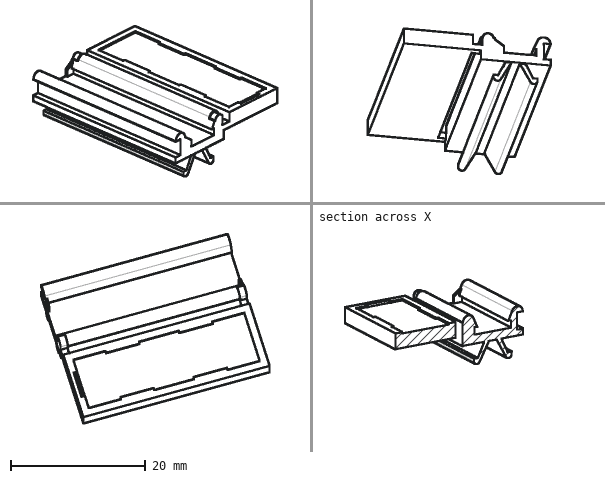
import math

import cadquery as cq

LENGTH = 29.0
TOTAL_DEPTH = 22.3
TOTAL_HEIGHT = 7.97

BASE_DEPTH = 10.6
BASE_MID = BASE_DEPTH / 2
FLOOR_TOP = 1.5
HOOK_TOP = 4.7
HOOK_RADIUS = 1.0
HOOK_LEDGE = 0.05
HOOK_CENTRE_Y = HOOK_LEDGE + HOOK_RADIUS
HOOK_CENTRE_Z = HOOK_TOP - HOOK_RADIUS
BARB_REACH = 2.62
BARB_BOTTOM = 2.6
RAIL_DEPTH = 2.15
GROOVE_DEPTH = 1.05
GROOVE_BOTTOM = 1.0
GROOVE_TOP = 3.65

STOP_LENGTH = 0.35
STOP_REACH = 3.5
STOP_SLOPE_DEPTH = 2.2
STOP_SLOPE_TOP = 3.55

PLATE_FRONT = 11.8
PLATE_BOTTOM = FLOOR_TOP
PLATE_TOP = 4.05
FRAME_WIDTH = 1.2
POCKET_DEPTH = 0.2
TAB_LENGTH = 5.2
TAB_WIDTH = 0.33
TAB_OFFSET = 5.7
SLOT_LENGTH = 4.05
SLOT_WIDTH = 0.55
SLOT_DEPTH = 2.25

ARM_LENGTH = 1.1
ARM_TOP = 2.5
ARM_RADIUS = 0.83
ARM_SEAT_Z = 3.85
POST_INSET = 1.1
POST_Y = BASE_DEPTH - POST_INSET

LEG_LENGTH = 28.5
LEG_ROOT_INNER = 0.64
LEG_ROOT_OUTER = 1.55
FOOT_INNER = 2.65
FOOT_OUTER = 3.33
FOOT_TOP = -2.28
FOOT_RADIUS = 0.57
FOOT_BOTTOM = HOOK_TOP - TOTAL_HEIGHT


def box(x_range, y_range, z_range):
    """Box spanning the three ranges."""
    size = [high - low for low, high in (x_range, y_range, z_range)]
    corner = (x_range[0], y_range[0], z_range[0])
    return cq.Workplane("XY").box(*size, centered=False).translate(corner)


def section(x_start, start_y, start_z):
    """Sketch on a YZ plane at x_start, beginning at the given point."""
    return cq.Workplane("YZ", origin=(x_start, 0, 0)).moveTo(start_y, start_z)


def mirrored(solid):
    """Mirror image about the middle of the base depth."""
    return solid.mirror("XZ", (0, BASE_MID, 0))


def tangent_point(centre, radius, outside, side):
    """Point where a line from `outside` touches a circle; side is +1 or -1."""
    dy = outside[0] - centre[0]
    dz = outside[1] - centre[1]
    angle = math.atan2(dz, dy) + side * math.acos(radius / math.hypot(dy, dz))
    return (centre[0] + radius * math.cos(angle), centre[1] + radius * math.sin(angle))


def on_circle(centre, radius, degrees):
    """Point on a circle at the given angle."""
    angle = math.radians(degrees)
    return (centre[0] + radius * math.cos(angle), centre[1] + radius * math.sin(angle))


def angle_of(centre, point):
    """Angle of a point seen from a centre, in degrees."""
    return math.degrees(math.atan2(point[1] - centre[1], point[0] - centre[0]))


def hooked_rail():
    """Front rail: round top, slope running down to a barb, straight wall below."""
    centre = (HOOK_CENTRE_Y, HOOK_CENTRE_Z)
    barb_tip = (BARB_REACH, BARB_BOTTOM)
    touch = tangent_point(centre, HOOK_RADIUS, barb_tip, 1)
    return (
        section(-LENGTH / 2, 0, 0)
        .lineTo(0, HOOK_CENTRE_Z)
        .lineTo(HOOK_LEDGE, HOOK_CENTRE_Z)
        .threePointArc((HOOK_CENTRE_Y, HOOK_TOP), touch)
        .lineTo(*barb_tip)
        .lineTo(RAIL_DEPTH, BARB_BOTTOM)
        .lineTo(RAIL_DEPTH, 0)
        .close()
        .extrude(LENGTH)
    )


def end_stop(x_start):
    """Sloped stop filling the corner below the barb of the front rail."""
    return (
        section(x_start, GROOVE_DEPTH, FLOOR_TOP)
        .lineTo(STOP_REACH, FLOOR_TOP)
        .lineTo(STOP_REACH, BARB_BOTTOM)
        .lineTo(STOP_SLOPE_DEPTH, STOP_SLOPE_TOP)
        .lineTo(GROOVE_DEPTH, STOP_SLOPE_TOP)
        .close()
        .extrude(STOP_LENGTH)
    )


def channel():
    """Base floor with both rails; only the front rail is grooved on its outside."""
    full_length = (-LENGTH / 2, LENGTH / 2)
    floor = box(full_length, (0, BASE_DEPTH), (0, FLOOR_TOP))
    groove = box(full_length, (0, GROOVE_DEPTH), (GROOVE_BOTTOM, GROOVE_TOP))
    rail = hooked_rail()
    body = floor.union(rail).union(mirrored(rail)).cut(groove)
    body = body.union(end_stop(LENGTH / 2 - STOP_LENGTH))
    return body.union(mirrored(end_stop(-LENGTH / 2)))


def snap_leg():
    """Front snap leg, slanting outward to a rounded foot with a flat ledge."""
    foot_centre = (BASE_MID - FOOT_OUTER + FOOT_RADIUS, FOOT_BOTTOM + FOOT_RADIUS)
    inner_root = (BASE_MID - LEG_ROOT_INNER, 0)
    touch = tangent_point(foot_centre, FOOT_RADIUS, inner_root, -1)
    foot_middle = (angle_of(foot_centre, touch) - 180) / 2
    return (
        section(-LEG_LENGTH / 2, *inner_root)
        .lineTo(*touch)
        .threePointArc(on_circle(foot_centre, FOOT_RADIUS, foot_middle),
                       (BASE_MID - FOOT_OUTER, foot_centre[1]))
        .lineTo(BASE_MID - FOOT_OUTER, FOOT_TOP)
        .lineTo(BASE_MID - FOOT_INNER, FOOT_TOP)
        .lineTo(BASE_MID - LEG_ROOT_OUTER, 0)
        .lineTo(BASE_MID - LEG_ROOT_OUTER, FLOOR_TOP)
        .lineTo(BASE_MID - LEG_ROOT_INNER, FLOOR_TOP)
        .close()
        .extrude(LEG_LENGTH)
    )


def label_plate():
    """Plate with a shallow label pocket, edge tabs and a slanted pry slot."""
    pocket_x = LENGTH / 2 - FRAME_WIDTH
    pocket_front = PLATE_FRONT + FRAME_WIDTH
    pocket_rear = TOTAL_DEPTH - FRAME_WIDTH
    pocket_z = (PLATE_TOP - POCKET_DEPTH, PLATE_TOP)
    plate = box((-LENGTH / 2, LENGTH / 2), (PLATE_FRONT, TOTAL_DEPTH), (PLATE_BOTTOM, PLATE_TOP))
    pocket = box((-pocket_x, pocket_x), (pocket_front, pocket_rear), pocket_z)
    for tab_x in (-TAB_OFFSET, TAB_OFFSET):
        tab_range = (tab_x - TAB_LENGTH / 2, tab_x + TAB_LENGTH / 2)
        pocket = pocket.cut(box(tab_range, (pocket_front, pocket_front + TAB_WIDTH), pocket_z))
        pocket = pocket.cut(box(tab_range, (pocket_rear - TAB_WIDTH, pocket_rear), pocket_z))
    plate_mid = (PLATE_FRONT + TOTAL_DEPTH) / 2
    slot = (
        cq.Workplane("XZ", origin=(0, plate_mid, 0))
        .moveTo(pocket_x, PLATE_TOP)
        .lineTo(pocket_x + SLOT_WIDTH, PLATE_TOP)
        .lineTo(pocket_x, PLATE_TOP - SLOT_DEPTH)
        .close()
        .extrude(SLOT_LENGTH / 2, both=True)
    )
    return plate.cut(pocket).cut(slot)


def arm_seat(x_start):
    """Clearance that trims the end of the rear rail down to its arm."""
    x_range = (x_start, x_start + ARM_LENGTH)
    above_post = box(x_range, (BASE_DEPTH - BARB_REACH, BASE_DEPTH), (ARM_SEAT_Z, HOOK_TOP))
    behind_post = box(x_range, (POST_Y, BASE_DEPTH), (FLOOR_TOP, HOOK_TOP))
    return above_post.union(behind_post)


def arm(x_start):
    """Arm from the plate to a round-topped post at the end of the rear rail."""
    return (
        section(x_start, PLATE_FRONT, PLATE_BOTTOM)
        .lineTo(PLATE_FRONT, ARM_TOP)
        .lineTo(POST_Y + ARM_RADIUS, ARM_TOP)
        .lineTo(POST_Y + ARM_RADIUS, HOOK_CENTRE_Z)
        .threePointArc((POST_Y, HOOK_CENTRE_Z + ARM_RADIUS), (POST_Y - ARM_RADIUS, HOOK_CENTRE_Z))
        .lineTo(POST_Y - ARM_RADIUS, PLATE_BOTTOM)
        .close()
        .extrude(ARM_LENGTH)
    )


result = channel()
for arm_x in (-LENGTH / 2, LENGTH / 2 - ARM_LENGTH):
    result = result.cut(arm_seat(arm_x)).union(arm(arm_x))
result = result.union(label_plate())
result = result.union(snap_leg()).union(mirrored(snap_leg()))